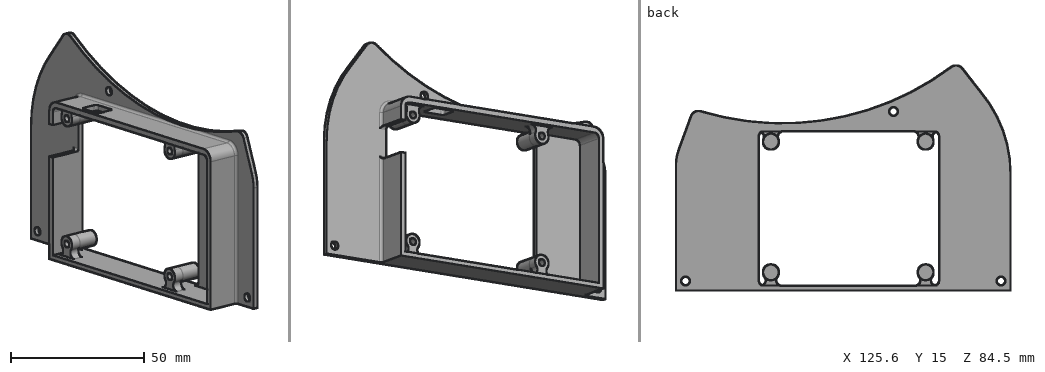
import cadquery as cq
import math

width = 125.6
height = 84.5
depth = 15.0
plate_thickness = 2.0
mount_hole_diameter = 3.1
bottom_hole_inset = 3.6
bottom_hole_height = 3.6
upper_hole = (44.0, 67.2)

left_arc_start_z = 43.8
left_arc_end = (11.2, 74.5)
left_peak_x = 20.0
right_flank_end = (124.6, 52.7)
right_arc_start_z = 47.2
right_peak_x = 118.9
peak_radius = 3.0
valley_x = 85.7
valley_z = 62.8
valley_radius = 105.5

box_left = 24.9
box_right = 115.9
box_top = 62.0
box_corner_radius = 4.1
cavity_left = 26.9
cavity_right = 113.9
cavity_bottom = 1.9
cavity_top = 59.8
cavity_corner_radius = 2.0
wall_root_radius = 1.0

window_right = 94.5
window_corner_radius = 2.0
side_gap_bottom = 40.1
side_gap_top = 52.7
top_slot_left = 41.1
top_slot_right = 50.1
top_slot_front_gap = 1.9
top_slot_length = 7.4
top_slot_corner_radius = 1.1

post_diameter = 6.0
post_hole_diameter = 2.6
post_left = 31.9
post_bottom = 6.9
post_pitch_x = 58.0
post_pitch_z = 49.0
post_setback = 2.5
web_thickness = 4.0
web_hollow_radius = 2.0
post_hole_depth = 6.3

front_y = plate_thickness - depth
back_y = plate_thickness
post_front_y = front_y + post_setback


def prism(sketch, y_start, y_end):
    """Extrude an XZ sketch from y_start back to y_end."""
    return sketch.extrude(y_start - y_end).translate((0, y_start, 0))


def block(x_range, y_range, z_range):
    """Axis-aligned block between the given limits."""
    lows, highs = zip(x_range, y_range, z_range)
    size = [high - low for low, high in zip(lows, highs)]
    return cq.Workplane("XY").box(*size, centered=False).translate(lows)


def valley_height(x):
    """Height of the concave upper edge at x."""
    return valley_z + valley_radius - math.sqrt(valley_radius**2 - (x - valley_x) ** 2)


def corner_edges(solid, x, z):
    """The edge of the solid that runs along Y at the point (x, z)."""
    return solid.edges("|Y").edges(cq.selectors.NearestToPointSelector((x, 0, z)))


def outline():
    """Plate silhouette, deep enough to trim the plate and the box."""
    left_top = (left_peak_x, valley_height(left_peak_x))
    right_top = (right_peak_x, valley_height(right_peak_x))
    sketch = (
        cq.Workplane("XZ")
        .lineTo(0, left_arc_start_z)
        .tangentArcPoint(left_arc_end, relative=False)
        .lineTo(*left_top)
        .threePointArc((valley_x, valley_z), right_top)
        .lineTo(*right_flank_end)
        .tangentArcPoint((width, right_arc_start_z), relative=False)
        .lineTo(width, 0)
        .close()
    )
    body = prism(sketch, front_y, back_y)
    body = corner_edges(body, *left_top).fillet(peak_radius)
    return corner_edges(body, *right_top).fillet(peak_radius)


def box_blank():
    """Plate blank with the solid box on it, before the openings are cut."""
    blank = block((0, width), (0, plate_thickness), (0, height))
    box = block((box_left, box_right), (front_y, back_y), (0, box_top))
    box = box.edges("|Y and >Z").fillet(box_corner_radius)
    return blank.union(box)


def cavity():
    """Space inside the walls, in front of the plate."""
    space = block((cavity_left, cavity_right), (front_y, 0), (cavity_bottom, cavity_top))
    return space.edges("|Y and >Z").fillet(cavity_corner_radius)


def window():
    """Opening through the plate behind the cavity."""
    opening = block((cavity_left, window_right), (0, back_y), (cavity_bottom, cavity_top))
    return opening.edges("|Y").fillet(window_corner_radius)


def side_gap():
    """Break in the left wall."""
    return block((box_left, cavity_left), (front_y, 0), (side_gap_bottom, side_gap_top))


def top_slot():
    """Rounded rectangular hole through the top wall."""
    y_start = front_y + top_slot_front_gap
    slot = block(
        (top_slot_left, top_slot_right),
        (y_start, y_start + top_slot_length),
        (cavity_top, box_top),
    )
    return slot.edges("|Z").fillet(top_slot_corner_radius)


def fillet_wall_roots(body):
    """Round the outer foot of each wall and of the gap ends where they meet the plate."""
    below_gap = (box_left, 0, side_gap_bottom / 2)
    lower_gap_end = ((box_left + cavity_left) / 2, 0, side_gap_bottom)
    upper_gap_end = ((box_left + cavity_left) / 2, 0, side_gap_top)
    top_edge = ((box_left + box_right) / 2, 0, box_top)
    edges = []
    for point in (below_gap, lower_gap_end, upper_gap_end, top_edge):
        edges += body.edges(cq.selectors.NearestToPointSelector(point)).vals()
    return body.newObject(edges).fillet(wall_root_radius)


def web(wall_distance):
    """Web from a post at the origin down to a wall, with hollow sides tangent to both."""
    post_radius = post_diameter / 2
    hollow_z = web_hollow_radius - wall_distance
    hollow_x = math.sqrt((post_radius + web_hollow_radius) ** 2 - hollow_z**2)
    touch = post_radius / (post_radius + web_hollow_radius)
    touch_x = hollow_x * touch
    touch_z = hollow_z * touch
    sketch = (
        cq.Workplane("XZ")
        .moveTo(-hollow_x, -wall_distance)
        .radiusArc((-touch_x, touch_z), -web_hollow_radius)
        .lineTo(0, 0)
        .lineTo(touch_x, touch_z)
        .radiusArc((hollow_x, -wall_distance), -web_hollow_radius)
        .close()
    )
    return prism(sketch, post_front_y, post_front_y + web_thickness)


def cylinder(diameter, y_start, y_end):
    """Cylinder along Y through the origin."""
    return prism(cq.Workplane("XZ").circle(diameter / 2), y_start, y_end)


def standoff(wall_distance):
    """Post at the origin with a blind screw hole, carried on a web from the wall below it."""
    web_back_y = post_front_y + web_thickness
    front = cylinder(post_diameter, post_front_y, web_back_y).union(web(wall_distance))
    rear = cylinder(post_diameter, web_back_y, back_y)
    hole = cylinder(post_hole_diameter, post_front_y, post_front_y + post_hole_depth)
    return front.union(rear).cut(hole)


def standoffs():
    """Four board standoffs, two on the bottom wall and two hanging from the top wall."""
    post_top = post_bottom + post_pitch_z
    lower = standoff(post_bottom - cavity_bottom)
    upper = standoff(cavity_top - post_top).rotate((0, 0, 0), (0, 1, 0), 180)
    group = []
    for x in (post_left, post_left + post_pitch_x):
        group.append(lower.translate((x, 0, post_bottom)))
        group.append(upper.translate((x, 0, post_top)))
    return group


def mount_holes():
    """Screw holes through the plate."""
    centres = [
        (bottom_hole_inset, bottom_hole_height),
        (width - bottom_hole_inset, bottom_hole_height),
        upper_hole,
    ]
    holes = cq.Workplane("XZ").pushPoints(centres).circle(mount_hole_diameter / 2)
    return prism(holes, 0, back_y)


walls = fillet_wall_roots(box_blank().cut(cavity()).cut(side_gap()).cut(window()))
result = walls.cut(top_slot()).intersect(outline()).cut(mount_holes())
for post in standoffs():
    result = result.union(post)